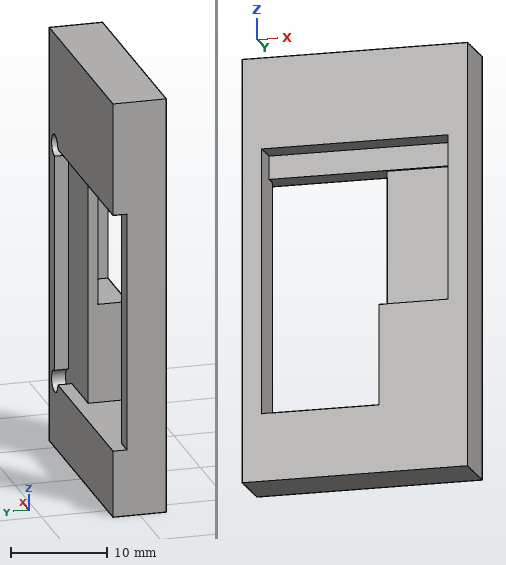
import cadquery as cq

width = 24.32
thickness = 5.75
height = 45.7

side_margin = 2.1
opening_bottom = 7.3
opening_top = 33.38
window_right = 14.75
pocket_right = width - side_margin

pocket_bottom = 18.15
pocket_depth = 3.2
upper_step_top = 35.9
upper_step_depth = thickness / 2

recess_depth = 1.5
corner_relief_radius = 1.2


def block(x_range, y_range, z_range):
    """Box spanning the given pairs of limits."""
    limits = (x_range, y_range, z_range)
    sizes = [high - low for low, high in limits]
    corner = tuple(low for low, high in limits)
    return cq.Workplane("XY").box(*sizes, centered=False).translate(corner)


plate = block((0, width), (0, thickness), (0, height))

window = block((side_margin, window_right), (0, thickness), (opening_bottom, opening_top))

pocket = block((side_margin, pocket_right), (0, pocket_depth), (pocket_bottom, opening_top))

upper_step = block((side_margin, pocket_right), (0, upper_step_depth), (opening_top, upper_step_top))

recess_floor = thickness - recess_depth
recess = block((0, pocket_right), (recess_floor, thickness), (opening_bottom, opening_top))
for corner_height in (opening_bottom, opening_top):
    relief = cq.Solid.makeCylinder(
        corner_relief_radius,
        recess_depth,
        cq.Vector(pocket_right, recess_floor, corner_height),
        cq.Vector(0, 1, 0),
    )
    recess = recess.union(cq.Workplane(relief))

result = plate.cut(window).cut(pocket).cut(upper_step).cut(recess)